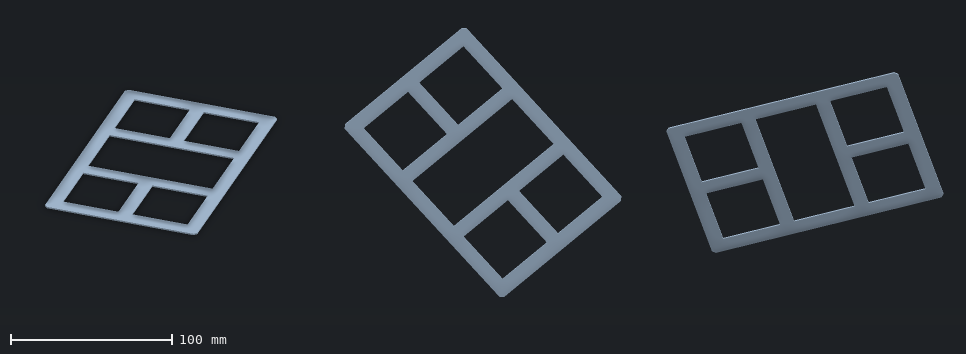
import cadquery as cq

width = 100.0
length = 150.0
thickness = 1.0
corner_chamfer = 2.0

side_border = 9.0
end_border = 9.5
bar_width = 9.0

inner_width = width - 2 * side_border
small_width = (inner_width - bar_width) / 2
small_length = 36.9
middle_length = length - 2 * (end_border + small_length + bar_width)

small_x = (bar_width + small_width) / 2
small_y = length / 2 - end_border - small_length / 2

plate = (
    cq.Workplane("XY")
    .box(width, length, thickness)
    .edges("|Z")
    .chamfer(corner_chamfer)
)

small_centers = [(sx * small_x, sy * small_y) for sx in (-1, 1) for sy in (-1, 1)]
small_windows = (
    cq.Workplane("XY")
    .pushPoints(small_centers)
    .box(small_width, small_length, 2 * thickness)
)
middle_window = cq.Workplane("XY").box(inner_width, middle_length, 2 * thickness)

result = plate.cut(small_windows).cut(middle_window)